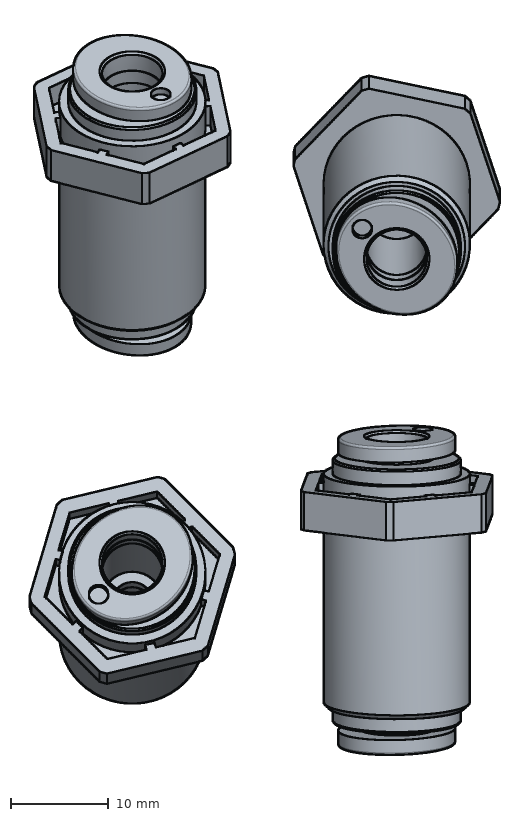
import cadquery as cq

BODY_DIAMETER = 15.0
BODY_LENGTH = 24.3
BODY_END_CHAMFER = 0.5
HEX_ACROSS_FLATS = 19.0
HEX_CORNER_DIAMETER = 21.5
HEX_HEIGHT = 4.0
HEX_SETBACK = 1.0
HEX_WALL = 1.5
POCKET_DEPTH = 2.5
RIB_WIDTH = 1.0
RIB_COUNT = 6

TUBE_DIAMETER = 6.2
PASSAGE_DIAMETER = 4.0
STOP_THICKNESS = 2.0

RING_DIAMETER = 13.15
RING_THICKNESS = 1.6
RING_CHAMFER = 0.2

NECK_DIAMETER = 7.5
NECK_LENGTH = 0.7
HEAD_LENGTH_X = 13.1
HEAD_LENGTH_Y = 11.5
HEAD_THICKNESS = 1.6
HEAD_EDGE_FILLET = 0.25
SLEEVE_MOUTH_DIAMETER = 6.2
SLEEVE_THROAT_DIAMETER = 6.15
MOUTH_CHAMFER = 0.25
MARK_DIAMETER = 2.0
MARK_DEPTH = 0.8
MARK_X = 4.8

BODY_TOP = BODY_LENGTH / 2
HEX_TOP = BODY_TOP - HEX_SETBACK
HEX_BOTTOM = HEX_TOP - HEX_HEIGHT
POCKET_FLOOR = HEX_TOP - POCKET_DEPTH
RING_TOP = BODY_TOP + RING_THICKNESS
HEAD_BOTTOM = RING_TOP + NECK_LENGTH
HEAD_TOP = HEAD_BOTTOM + HEAD_THICKNESS


def cylinder(diameter, bottom, top):
    return cq.Workplane("XY").workplane(offset=bottom).circle(diameter / 2).extrude(top - bottom)


def hexagon(across_flats, bottom, top):
    """Hexagonal prism with flats facing +X and -X."""
    return (
        cq.Workplane("XY")
        .workplane(offset=bottom)
        .polygon(6, across_flats, circumscribed=True)
        .extrude(top - bottom)
    )


def make_pockets():
    """Six pockets between the hexagon wall and the barrel, parted by a rib at each flat."""
    pockets = hexagon(HEX_ACROSS_FLATS - 2 * HEX_WALL, POCKET_FLOOR, HEX_TOP)
    pockets = pockets.cut(cylinder(BODY_DIAMETER, POCKET_FLOOR, HEX_TOP))
    for index in range(RIB_COUNT // 2):
        rib_pair = (
            cq.Workplane("XY")
            .workplane(offset=POCKET_FLOOR)
            .rect(HEX_ACROSS_FLATS, RIB_WIDTH)
            .extrude(POCKET_DEPTH)
            .rotate((0, 0, 0), (0, 0, 1), index * 360 / RIB_COUNT)
        )
        pockets = pockets.cut(rib_pair)
    return pockets


def make_body():
    barrel = cylinder(BODY_DIAMETER, -BODY_TOP, BODY_TOP).faces("<Z").chamfer(BODY_END_CHAMFER)
    flange = hexagon(HEX_ACROSS_FLATS, HEX_BOTTOM, HEX_TOP)
    flange = flange.intersect(cylinder(HEX_CORNER_DIAMETER, HEX_BOTTOM, HEX_TOP))
    tube_socket = cylinder(TUBE_DIAMETER, STOP_THICKNESS / 2, BODY_TOP)
    return (
        barrel.union(flange)
        .cut(make_pockets())
        .cut(cylinder(PASSAGE_DIAMETER, -BODY_TOP, BODY_TOP))
        .cut(tube_socket)
        .cut(tube_socket.mirror("XY"))
    )


def make_ring():
    """Guide ring for the top end, its bore flush with the tube socket of the body."""
    disc = cylinder(RING_DIAMETER, BODY_TOP, RING_TOP).faces(">Z").chamfer(RING_CHAMFER)
    return disc.cut(cylinder(TUBE_DIAMETER, BODY_TOP, RING_TOP))


def make_sleeve_bore():
    """Tapered bore of the sleeve, flared by a chamfer at its mouth."""
    mouth_radius = SLEEVE_MOUTH_DIAMETER / 2
    return (
        cq.Workplane("XZ")
        .moveTo(0, RING_TOP)
        .lineTo(SLEEVE_THROAT_DIAMETER / 2, RING_TOP)
        .lineTo(mouth_radius, HEAD_TOP - MOUTH_CHAMFER)
        .lineTo(mouth_radius + MOUTH_CHAMFER, HEAD_TOP)
        .lineTo(0, HEAD_TOP)
        .close()
        .revolve(360, (0, 0, 0), (0, 1, 0))
    )


def make_sleeve():
    """Release sleeve for the top end: short neck, oval push head and a round recessed mark."""
    head = (
        cq.Workplane("XY")
        .workplane(offset=HEAD_BOTTOM)
        .ellipse(HEAD_LENGTH_X / 2, HEAD_LENGTH_Y / 2)
        .extrude(HEAD_THICKNESS)
        .faces(">Z")
        .edges()
        .fillet(HEAD_EDGE_FILLET)
    )
    neck = cylinder(NECK_DIAMETER, RING_TOP, HEAD_BOTTOM)
    mark = cylinder(MARK_DIAMETER, HEAD_TOP - MARK_DEPTH, HEAD_TOP).translate((MARK_X, 0, 0))
    return head.union(neck).cut(make_sleeve_bore()).cut(mark)


body = make_body()

end_fittings = []
for fitting in (make_ring(), make_sleeve()):
    end_fittings.append(fitting.solids().val())
    end_fittings.append(fitting.mirror("XY").solids().val())

result = cq.Compound.makeCompound([body.solids().val(), *end_fittings])